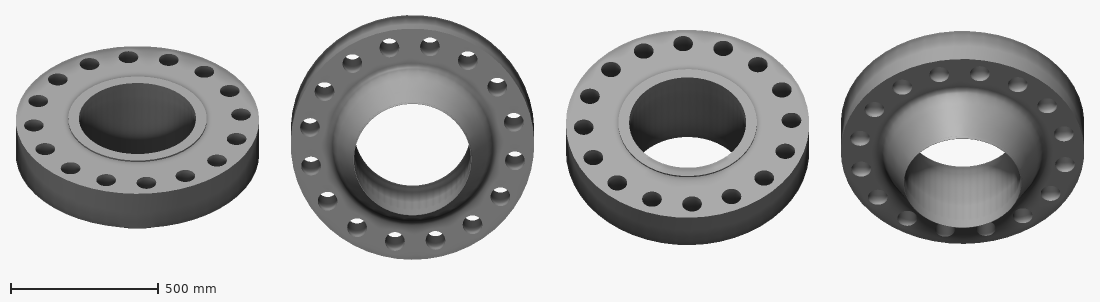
import cadquery as cq

flange_diameter = 825.5
flange_thickness = 146.05
overall_length = 317.5

face_diameter = 469.9
face_height = 6.35

neck_root_diameter = 552.45
neck_end_diameter = 406.4
neck_root_fillet = 19.05
taper_start = 9.6

root_face_width = 1.5
bevel_length = 8.8

bore_diameter = 396.84
bolt_count = 16
bolt_circle_diameter = 704.85
bolt_hole_diameter = 66.675

disc_top = overall_length - face_height
disc_bottom = disc_top - flange_thickness
bevel_end_radius = bore_diameter / 2 + root_face_width


def revolve_outline(points):
    """Revolve a closed (radius, height) outline about the Z axis."""
    return cq.Workplane("XZ").polyline(points).close().revolve(360, (0, 0, 0), (0, 1, 0))


def make_body():
    """Solid flange and neck, from the axis out."""
    outline = [
        (0, 0),
        (bevel_end_radius, 0),
        (neck_end_diameter / 2, bevel_length),
        (neck_end_diameter / 2, taper_start),
        (neck_root_diameter / 2, disc_bottom),
        (flange_diameter / 2, disc_bottom),
        (flange_diameter / 2, disc_top),
        (face_diameter / 2, disc_top),
        (face_diameter / 2, overall_length),
        (0, overall_length),
    ]
    return revolve_outline(outline)


def round_neck_root(body):
    """Fillet the corner where the taper meets the underside of the disc."""
    margin = 1.0
    reach = neck_root_diameter / 2 + margin
    root_box = cq.selectors.BoxSelector(
        (-reach, -reach, disc_bottom - margin),
        (reach, reach, disc_bottom + margin),
        boundingbox=True,
    )
    return body.edges(root_box).fillet(neck_root_fillet)


def make_bore():
    """Straight bore through the full length."""
    return cq.Workplane("XY").circle(bore_diameter / 2).extrude(overall_length)


def make_bolt_holes():
    """Through holes evenly spaced on the bolt circle."""
    return (
        cq.Workplane("XY")
        .polarArray(bolt_circle_diameter / 2, 0, 360, bolt_count)
        .circle(bolt_hole_diameter / 2)
        .extrude(overall_length)
    )


result = round_neck_root(make_body()).cut(make_bore()).cut(make_bolt_holes())